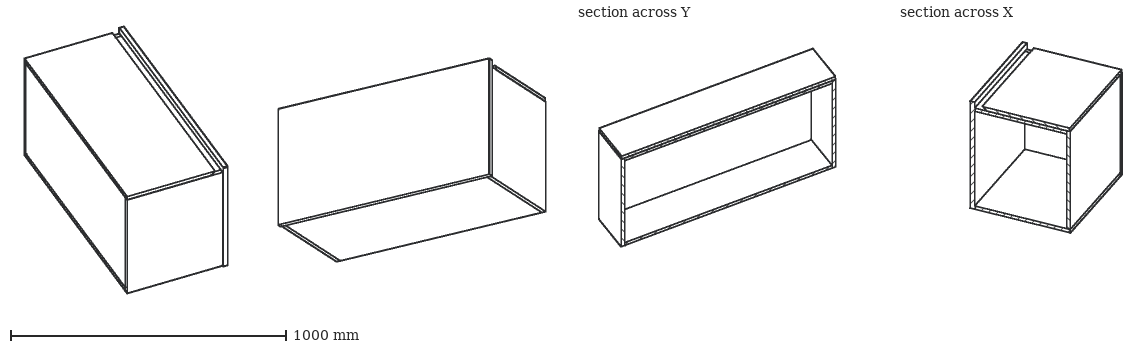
import cadquery as cq

width = 900.0
depth = 402.0
height = 460.0

board = 16.0
door_thickness = 20.0
lid_thickness = 14.0

door_overhang = 5.0
lid_inset = 2.0
lid_setback = 1.0
lid_drop = 11.0
finger_gap = 30.0
lid_bevel = 13.5
door_chamfer = 3.0

carcass_width = width - 2 * door_overhang
carcass_depth = depth - door_thickness
carcass_height = height - lid_drop - lid_thickness
inner_width = carcass_width - 2 * board


def box_at(size_x, size_y, size_z, y, z, x_center=0.0):
    """Box centred on x_center, starting at the given Y and Z."""
    return (
        cq.Workplane("XY")
        .box(size_x, size_y, size_z, centered=(True, False, False))
        .translate((x_center, y, z))
    )


def make_side(direction):
    """Full-height carcass side; direction is -1 or 1 along X."""
    x_center = direction * (carcass_width - board) / 2
    return box_at(board, carcass_depth, carcass_height, 0, 0, x_center)


def make_bottom():
    return box_at(inner_width, carcass_depth, board, 0, 0)


def make_front_panel():
    """Upright panel standing on the bottom between the sides."""
    return box_at(inner_width, board, carcass_height - board, 0, board)


def make_top_board():
    """Horizontal board behind the front panel, flush with the side tops."""
    return box_at(inner_width, carcass_depth - board, board, board, carcass_height - board)


def make_lid():
    """Lid board with its rear edge undercut to form a finger grip."""
    lid_width = carcass_width - 2 * lid_inset
    rear_top = carcass_depth - finger_gap
    lid_top = carcass_height + lid_thickness
    return (
        cq.Workplane("YZ")
        .moveTo(lid_setback, carcass_height)
        .lineTo(rear_top - lid_bevel, carcass_height)
        .lineTo(rear_top, lid_top)
        .lineTo(lid_setback, lid_top)
        .close()
        .extrude(lid_width / 2, both=True)
    )


def make_door():
    """Rear door with chamfered top and side edges and a square lower edge."""
    door = box_at(width, door_thickness, height, carcass_depth, 0)
    outer_top = door.faces(">Y").edges(">Z")
    outer_sides = door.faces(">Y").edges("|Z")
    top_corners = door.faces(">Z").edges("|Y")
    return door.newObject(
        outer_top.vals() + outer_sides.vals() + top_corners.vals()
    ).chamfer(door_chamfer)


sides = [make_side(direction) for direction in (-1, 1)]
bottom = make_bottom()
front_panel = make_front_panel()
top_board = make_top_board()
lid = make_lid()
door = make_door()

result = cq.Compound.makeCompound([
    *[side.val() for side in sides],
    bottom.val(),
    front_panel.val(),
    top_board.val(),
    lid.val(),
    door.val(),
])